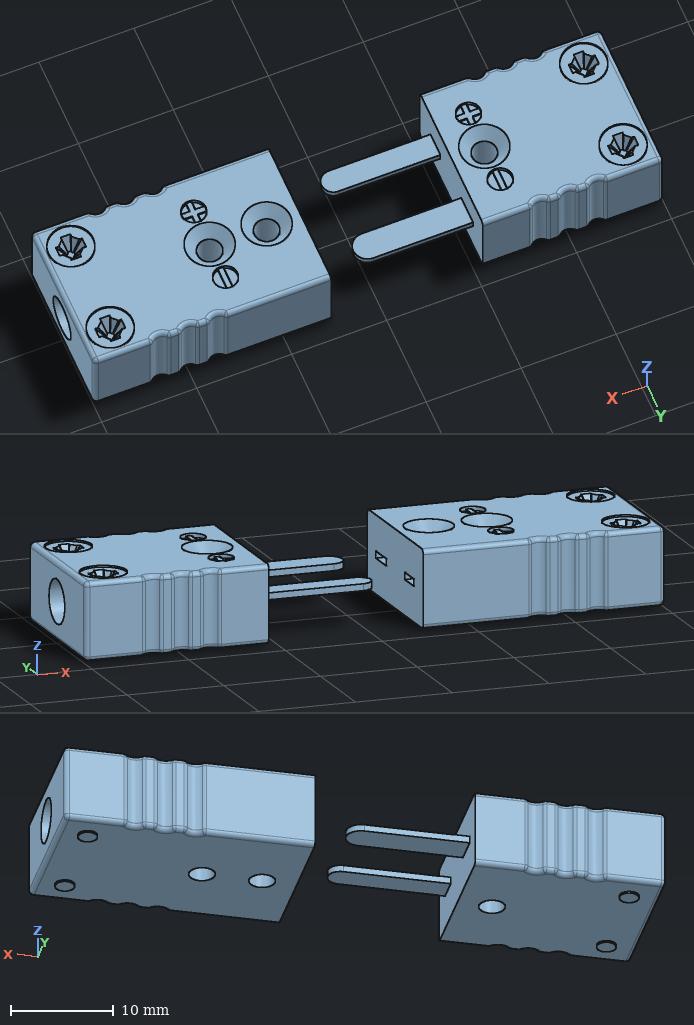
import cadquery as cq
import math

TOTAL_LENGTH = 60.0
WIDTH = 16.0
HEIGHT = 8.05
PLUG_LENGTH = 19.0
SOCKET_LENGTH = 25.0
EDGE_RADIUS = 0.5

GRIP_FIRST = 7.0
GRIP_PITCH = 3.0
GRIP_COUNT = 3
GRIP_RADIUS = 1.0
GRIP_DEPTH = 0.5
GRIP_BLEND = 0.5

CABLE_DIAMETER = 4.5
CABLE_DEPTH = 9.0

MOUNT_DIAMETER = 2.6
MOUNT_SINK_DIAMETER = 5.0
MOUNT_SINK_DEPTH = (MOUNT_SINK_DIAMETER - MOUNT_DIAMETER) / 2
FIRST_MOUNT = 3.5
MOUNT_PITCH = 6.0

CONTACT_OFFSET = 4.0
CONTACT_WIDTHS = {1: 3.0, -1: 2.5}
BLADE_LENGTH = 12.0
BLADE_THICKNESS = 0.7

MARK_DIAMETER = 2.5
MARK_DEPTH = 0.4
MARK_BAR_WIDTH = 0.6
MARK_BAR_HEIGHT = 0.2

SCREW_FROM_END = 3.0
SCREW_OFFSET = 5.0
HEAD_DIAMETER = 4.7
HEAD_HEIGHT = 2.4
HEAD_RECESS = 0.2
SHANK_DIAMETER = 1.9
TIP_LENGTH = 0.2

DRIVE_ARMS = 4
DRIVE_REACH = 1.4
DRIVE_ARM_WIDTH = 1.0
DRIVE_CORNER = 1.1
DRIVE_DEPTH = 1.5
DRIVE_FLOOR_SCALE = 0.3

TOP = HEIGHT / 2
BOTTOM = -HEIGHT / 2
SIDES = (-1, 1)
HEAD_TOP = TOP - HEAD_RECESS
HEAD_SEAT = HEAD_TOP - HEAD_HEIGHT
SCREW_PLACES = [(SCREW_FROM_END, side * SCREW_OFFSET) for side in SIDES]


def box_between(x0, x1, y_size, z_size):
    """Box from x0 to x1, centred on the X axis."""
    return cq.Workplane("XY").box(x1 - x0, y_size, z_size).translate(((x0 + x1) / 2, 0, 0))


def rod(x, y, diameter, z0, z1):
    """Upright cylinder from z0 to z1."""
    return cq.Workplane("XY", origin=(x, y, z0)).circle(diameter / 2).extrude(z1 - z0)


def gripped_block(length):
    """Rounded block with its cable end at x = 0 and its mating face at x = length."""
    block = box_between(0, length, WIDTH, HEIGHT)
    for i in range(GRIP_COUNT):
        for side in SIDES:
            axis_y = side * (WIDTH / 2 + GRIP_RADIUS - GRIP_DEPTH)
            block = block.cut(rod(GRIP_FIRST + i * GRIP_PITCH, axis_y, 2 * GRIP_RADIUS, BOTTOM, TOP))
    block = block.edges("|Z and (not >X)").fillet(GRIP_BLEND)
    return block.faces("<Z or >Z").edges("not >X").fillet(EDGE_RADIUS)


def countersunk_hole(x):
    """Through hole with a conical mouth in the top face."""
    sink = (
        cq.Workplane("XY", origin=(x, 0, TOP))
        .circle(MOUNT_SINK_DIAMETER / 2)
        .workplane(offset=-MOUNT_SINK_DEPTH)
        .circle(MOUNT_DIAMETER / 2)
        .loft()
    )
    return rod(x, 0, MOUNT_DIAMETER, BOTTOM, TOP).union(sink)


def polarity_mark(x, side):
    """Recess with a raised bar across it (minus) or a raised cross (plus)."""
    y = side * CONTACT_OFFSET
    floor = TOP - MARK_DEPTH
    recess = rod(x, y, MARK_DIAMETER, floor, TOP)
    bar = cq.Workplane("XY").box(MARK_BAR_WIDTH, 2 * MARK_DIAMETER, MARK_BAR_HEIGHT)
    if side < 0:
        bar = bar.union(bar.rotate((0, 0, 0), (0, 0, 1), 90))
    return recess.cut(bar.translate((x, y, floor + MARK_BAR_HEIGHT / 2)))


def make_housing(length, mount_count):
    """Housing with its cable end at x = 0; the marks flank the mount farthest from the mating face."""
    housing = gripped_block(length)
    housing = housing.cut(
        cq.Workplane("YZ").circle(CABLE_DIAMETER / 2).extrude(CABLE_DEPTH)
    )
    mounts = [length - FIRST_MOUNT - i * MOUNT_PITCH for i in range(mount_count)]
    for x in mounts:
        housing = housing.cut(countersunk_hole(x))
    for side in SIDES:
        housing = housing.cut(polarity_mark(mounts[-1], side))
    for x, y in SCREW_PLACES:
        housing = housing.cut(rod(x, y, HEAD_DIAMETER, HEAD_SEAT, TOP))
        housing = housing.cut(rod(x, y, SHANK_DIAMETER, BOTTOM, TOP))
    return housing


def cut_contact_slots(housing, length):
    """Blade-sized slots running back from the mating face."""
    for side, width in CONTACT_WIDTHS.items():
        slot = box_between(length - BLADE_LENGTH, length, width, BLADE_THICKNESS)
        housing = housing.cut(slot.translate((0, side * CONTACT_OFFSET, 0)))
    return housing


def make_blade(side, start):
    """Flat blade along +X from `start`, with a full-round tip."""
    half_width = CONTACT_WIDTHS[side] / 2
    straight = BLADE_LENGTH - half_width
    return (
        cq.Workplane("XY", origin=(start, side * CONTACT_OFFSET, -BLADE_THICKNESS / 2))
        .moveTo(0, -half_width)
        .lineTo(straight, -half_width)
        .threePointArc((BLADE_LENGTH, 0), (straight, half_width))
        .lineTo(0, half_width)
        .close()
        .extrude(BLADE_THICKNESS)
    )


def cross_outline(scale):
    """Corner points of a four-armed cross with slanted corners between its arms."""
    half_arm = DRIVE_ARM_WIDTH / 2
    points = []
    for i in range(DRIVE_ARMS):
        angle = 2 * math.pi * i / DRIVE_ARMS
        cosine = math.cos(angle)
        sine = math.sin(angle)
        for along, across in (
            (DRIVE_CORNER, -half_arm),
            (DRIVE_REACH, -half_arm),
            (DRIVE_REACH, half_arm),
            (DRIVE_CORNER, half_arm),
        ):
            points.append((
                scale * (along * cosine - across * sine),
                scale * (along * sine + across * cosine),
            ))
    return points


def cross_drive(x, y):
    """Tapered cross recess sunk from the head top."""
    return (
        cq.Workplane("XY", origin=(x, y, HEAD_TOP))
        .polyline(cross_outline(1))
        .close()
        .workplane(offset=-DRIVE_DEPTH)
        .polyline(cross_outline(DRIVE_FLOOR_SCALE))
        .close()
        .loft(ruled=True)
    )


def make_screw(x, y):
    """Screw with a flat head; its shank passes right through the housing."""
    head = rod(x, y, HEAD_DIAMETER, HEAD_SEAT, HEAD_TOP)
    shank = rod(x, y, SHANK_DIAMETER, BOTTOM - TIP_LENGTH, HEAD_TOP)
    return head.union(shank).cut(cross_drive(x, y))


def as_socket(body):
    """Mirror a body built from the cable end so that its cable end lies at the far end."""
    return body.mirror("YZ").translate((TOTAL_LENGTH, 0, 0))


plug = make_housing(PLUG_LENGTH, 1)
blades = [make_blade(side, PLUG_LENGTH) for side in CONTACT_WIDTHS]
socket = as_socket(cut_contact_slots(make_housing(SOCKET_LENGTH, 2), SOCKET_LENGTH))
plug_screws = [make_screw(x, y) for x, y in SCREW_PLACES]
socket_screws = [as_socket(screw) for screw in plug_screws]

result = cq.Compound.makeCompound(
    [plug.val(), socket.val()]
    + [body.val() for body in blades + plug_screws + socket_screws]
)